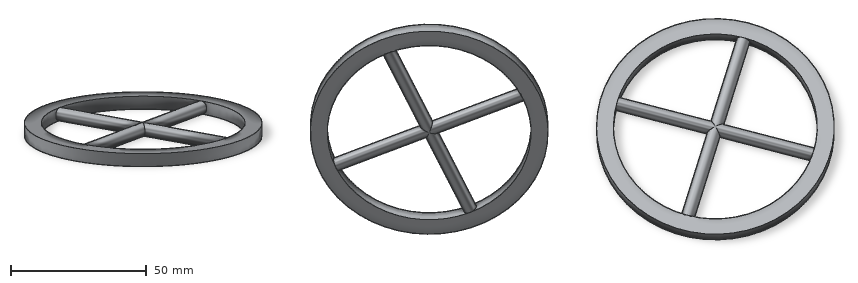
import cadquery as cq

outer_diameter = 87.5
inner_diameter = 75.0
thickness = 5.0

spoke_diameter = thickness
spoke_length = (outer_diameter + inner_diameter) / 2


def make_rim():
    """Flat ring centred on the origin, with its axis along Z."""
    return (
        cq.Workplane("XY", origin=(0, 0, -thickness / 2))
        .circle(outer_diameter / 2)
        .circle(inner_diameter / 2)
        .extrude(thickness)
    )


def make_spoke(plane):
    """Round bar through the centre, along the normal of the given plane."""
    return cq.Workplane(plane).circle(spoke_diameter / 2).extrude(spoke_length / 2, both=True)


result = make_rim()
for spoke_plane in ("YZ", "XZ"):
    result = result.union(make_spoke(spoke_plane))